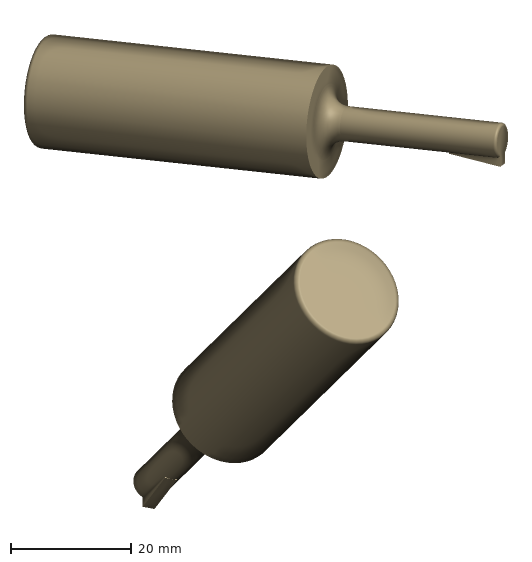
import cadquery as cq

total_length = 81.9
body_length = 50.6

body_radius = 19.1 / 2
pin_radius = 5.9 / 2
body_rounding = 0.8
pin_rounding = 0.5
neck_fillet = 3.4

fin_length = 9.2
fin_reach = 4.3
fin_thickness = 2.1


def make_turned_body():
    """Cylinder and pin revolved about X, joined by a concave neck fillet, with rounded ends."""
    neck_end = body_length + neck_fillet
    neck_radius = pin_radius + neck_fillet
    profile = (
        cq.Workplane("XZ")
        .moveTo(0, 0)
        .lineTo(0, body_radius - body_rounding)
        .radiusArc((body_rounding, body_radius), body_rounding)
        .lineTo(body_length, body_radius)
        .lineTo(body_length, neck_radius)
        .radiusArc((neck_end, pin_radius), -neck_fillet)
        .lineTo(total_length - pin_rounding, pin_radius)
        .radiusArc((total_length, pin_radius - pin_rounding), pin_rounding)
        .lineTo(total_length, 0)
        .close()
    )
    return profile.revolve(360, (0, 0, 0), (1, 0, 0))


def make_fin():
    """Thin wedge centred on Y, growing from the pin surface to the free end."""
    fin_start = total_length - fin_length
    return (
        cq.Workplane("XZ")
        .moveTo(fin_start, 0)
        .lineTo(fin_start, -pin_radius)
        .lineTo(total_length, -fin_reach)
        .lineTo(total_length, 0)
        .close()
        .extrude(fin_thickness / 2, both=True)
    )


result = make_turned_body().union(make_fin())